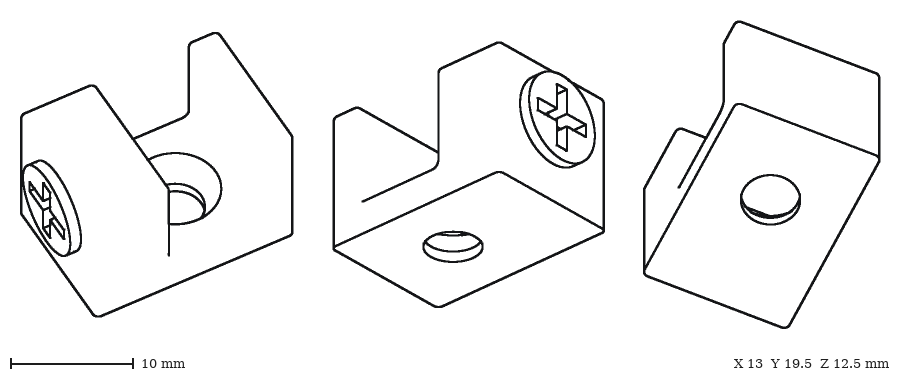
import cadquery as cq

width = 13.0
total_length = 19.5
height = 12.5

head_height = 1.0
body_length = total_length - head_height
front_block_length = 7.0
back_wall_thickness = 2.9
slot_length = body_length - front_block_length - back_wall_thickness
floor_thickness = 3.3
edge_radius = 0.5

hole_diameter = 4.84
countersink_diameter = 7.5
countersink_angle = 60.0
hole_to_back = 7.53

head_diameter = 8.0
head_center_z = 7.5
cross_length = 5.8
cross_width = 1.17
cross_depth = 2 * head_height


def make_body():
    """U-shaped block, centred in X, front face at Y = 0, bottom at Z = 0."""
    block = cq.Workplane("XY").box(width, body_length, height, centered=(True, False, False))
    slot = (
        cq.Workplane("XY", origin=(0, front_block_length, floor_thickness))
        .box(width, slot_length, height, centered=(True, False, False))
        .edges("|X and <Z")
        .fillet(edge_radius)
    )
    body = block.cut(slot)
    side_edges = body.faces("<X or >X").edges("not <Z")
    corner_and_top_edges = body.faces("<Y or >Y or >Z").edges("not <Z")
    return body.newObject(side_edges.add(corner_and_top_edges).vals()).fillet(edge_radius)


def cut_countersunk_hole(body):
    return (
        body.copyWorkplane(
            cq.Workplane("XY", origin=(0, body_length - hole_to_back, floor_thickness))
        )
        .cskHole(hole_diameter, countersink_diameter, countersink_angle)
    )


def add_screw_head(body):
    """Add the round head and cut its cross recess through it into the block."""
    front_face = cq.Workplane("XZ", origin=(0, 0, head_center_z))
    body = body.union(front_face.circle(head_diameter / 2).extrude(head_height))
    recess_floor = front_face.workplane(offset=head_height - cross_depth)
    for bar_width, bar_height in ((cross_length, cross_width), (cross_width, cross_length)):
        body = body.cut(recess_floor.rect(bar_width, bar_height).extrude(cross_depth))
    return body


result = add_screw_head(cut_countersunk_hole(make_body()))